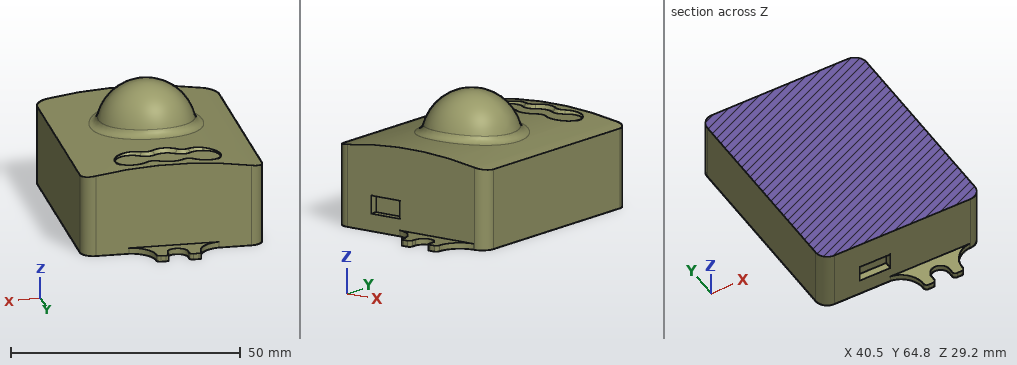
import cadquery as cq
import math

overall_length = 64.8
body_width = 40.5
body_length = 51.85
side_height = 17.95
crown_height = 20.0
corner_radius = 3.0

dome_top = 29.2
dome_radius = 11.0
dome_y = -3.7
dome_blend = 2.15

pocket_y = 19.6
lobe_radius = 3.7
lobe_pitch = 7.9
neck_half_width = 2.35
pocket_floor = 19.1
pocket_draft = 40.0

tab_thickness = 1.35
tab_reach = (overall_length - body_length) / 2
fork_half_width = 5.0
flare_width = 5.0
flare_height = 5.6
slot_radius = 2.3
slot_depth = 4.15
tip_fillet = 0.8
front_tab_x = 7.0
tab_embed = 0.65

clearance = 0.65

port_left = -10.75
port_right = -3.0
port_bottom = 3.95
port_top = 8.05
port_depth = 1.8


def make_housing():
    half_width = body_width / 2
    return (
        cq.Workplane("XZ")
        .moveTo(-half_width, 0)
        .lineTo(half_width, 0)
        .lineTo(half_width, side_height)
        .threePointArc((0, crown_height), (-half_width, side_height))
        .close()
        .extrude(body_length / 2, both=True)
        .edges("|Z")
        .fillet(corner_radius)
    )


def add_dome(housing):
    center = cq.Vector(0, dome_y, dome_top - dome_radius)
    dome = cq.Workplane(cq.Solid.makeSphere(dome_radius, center, angleDegrees1=0))
    seam_reach = dome_radius + clearance
    seam_box = cq.selectors.BoxSelector(
        (-seam_reach, dome_y - seam_reach, side_height),
        (seam_reach, dome_y + seam_reach, crown_height + clearance),
        boundingbox=True,
    )
    return housing.union(dome).edges(seam_box).fillet(dome_blend)


def make_pocket():
    half_pitch = lobe_pitch / 2
    neck_radius = (half_pitch**2 + neck_half_width**2 - lobe_radius**2) / (
        2 * (lobe_radius - neck_half_width)
    )
    lobe_to_neck = lobe_radius + neck_radius
    tangent_x = lobe_radius * half_pitch / lobe_to_neck
    tangent_y = lobe_radius * (neck_half_width + neck_radius) / lobe_to_neck
    outer_x = lobe_pitch + lobe_radius
    profile = (
        cq.Workplane("XY", origin=(0, pocket_y, pocket_floor))
        .moveTo(-lobe_pitch + tangent_x, tangent_y)
        .threePointArc((-half_pitch, neck_half_width), (-tangent_x, tangent_y))
        .threePointArc((0, lobe_radius), (tangent_x, tangent_y))
        .threePointArc((half_pitch, neck_half_width), (lobe_pitch - tangent_x, tangent_y))
        .threePointArc((outer_x, 0), (lobe_pitch - tangent_x, -tangent_y))
        .threePointArc((half_pitch, -neck_half_width), (tangent_x, -tangent_y))
        .threePointArc((0, -lobe_radius), (-tangent_x, -tangent_y))
        .threePointArc((-half_pitch, -neck_half_width), (-lobe_pitch + tangent_x, -tangent_y))
        .threePointArc((-outer_x, 0), (-lobe_pitch + tangent_x, tangent_y))
        .close()
    )
    cut_height = crown_height - pocket_floor + clearance
    return profile.extrude(cut_height, taper=-pocket_draft)


def make_tab():
    """Fork pointing along +Y, with its root line on Y = 0."""
    root_half_width = fork_half_width + flare_width
    flare_radius = (flare_width**2 + flare_height**2) / (2 * flare_width)
    half_sweep = math.asin(flare_height / flare_radius) / 2
    flare_mid_x = fork_half_width + flare_radius * (1 - math.cos(half_sweep))
    flare_mid_y = flare_height - flare_radius * math.sin(half_sweep)
    slot_center_y = tab_reach - slot_depth + slot_radius
    return (
        cq.Workplane("XY")
        .moveTo(-root_half_width, -tab_embed)
        .lineTo(-root_half_width, 0)
        .threePointArc((-flare_mid_x, flare_mid_y), (-fork_half_width, flare_height))
        .lineTo(-fork_half_width, tab_reach)
        .lineTo(-slot_radius, tab_reach)
        .lineTo(-slot_radius, slot_center_y)
        .threePointArc((0, tab_reach - slot_depth), (slot_radius, slot_center_y))
        .lineTo(slot_radius, tab_reach)
        .lineTo(fork_half_width, tab_reach)
        .lineTo(fork_half_width, flare_height)
        .threePointArc((flare_mid_x, flare_mid_y), (root_half_width, 0))
        .lineTo(root_half_width, -tab_embed)
        .close()
        .extrude(tab_thickness)
        .faces(">Y")
        .edges("|Z")
        .fillet(tip_fillet)
    )


def make_port():
    return cq.Workplane("XY").box(
        port_right - port_left, port_depth, port_top - port_bottom, centered=False
    ).translate((port_left, -body_length / 2, port_bottom))


back_tab = make_tab().translate((0, body_length / 2, 0))
front_tab = make_tab().rotate((0, 0, 0), (0, 0, 1), 180).translate((front_tab_x, -body_length / 2, 0))

result = add_dome(make_housing())
result = result.cut(make_pocket()).cut(make_port())
result = result.union(back_tab).union(front_tab)